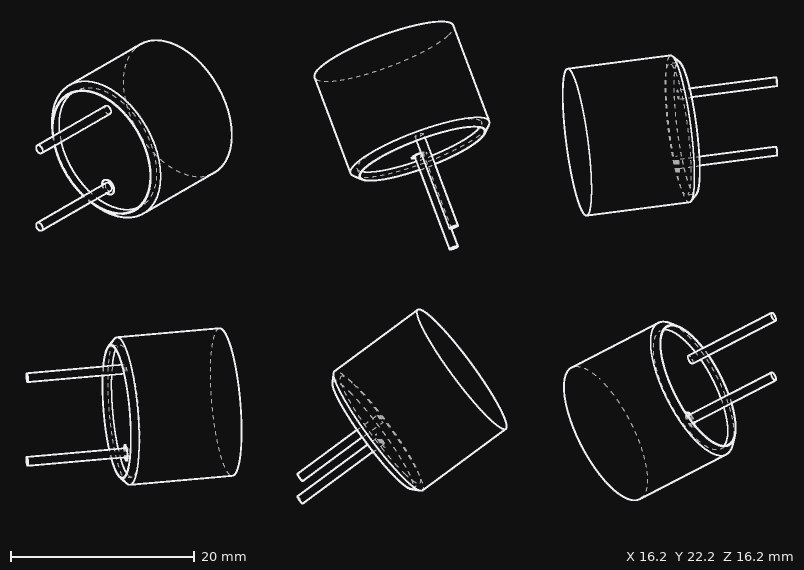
import cadquery as cq

total_length = 22.2
can_diameter = 16.2
pin_length = 10.0
can_length = total_length - pin_length
rim_chamfer = 0.75

recess_diameter = 14.5
recess_depth = 1.0

pin_diameter = 1.0
pin_spacing = 10.0

groove_diameter = 1.75
groove_depth = 0.1

back_y = total_length / 2
rim_y = back_y - can_length
floor_y = rim_y + recess_depth
pin_tip_y = rim_y - pin_length


def cylinder_along_y(diameter, start_y, end_y, z=0.0):
    """Solid cylinder parallel to Y between two Y positions, centred on X = 0."""
    return (
        cq.Workplane("XZ", origin=(0, end_y, z))
        .circle(diameter / 2)
        .extrude(end_y - start_y)
    )


def make_can():
    outside = cylinder_along_y(can_diameter, rim_y, back_y).faces("<Y").chamfer(rim_chamfer)
    return outside.cut(cylinder_along_y(recess_diameter, rim_y, floor_y))


def make_pin(z):
    return cylinder_along_y(pin_diameter, pin_tip_y, floor_y + groove_depth, z)


upper_pin_z = pin_spacing / 2
lower_pin_z = -pin_spacing / 2

pin_groove = cylinder_along_y(groove_diameter, floor_y, floor_y + groove_depth, lower_pin_z)

result = make_can().cut(pin_groove)
for pin_z in (upper_pin_z, lower_pin_z):
    result = result.union(make_pin(pin_z))